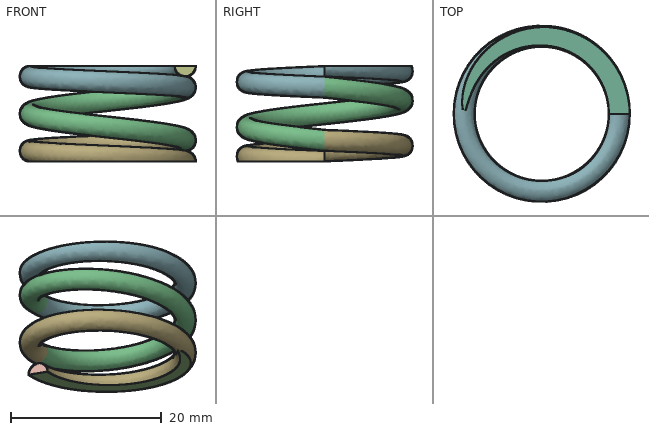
import cadquery as cq

outer_diameter = 23.4
wire_diameter = 2.8
free_length = 12.7
tip_clearance = 0.02

mean_radius = (outer_diameter - wire_diameter) / 2
end_pitch = wire_diameter + tip_clearance
active_pitch = free_length - 2 * end_pitch


def coil(base_height, pitch):
    """One full turn of wire, starting and ending on the +X side."""
    path = cq.Wire.makeHelix(pitch, pitch, mean_radius, lefthand=True)
    turn = (
        cq.Workplane("XZ")
        .center(mean_radius, 0)
        .circle(wire_diameter / 2)
        .sweep(cq.Workplane(path), isFrenet=True)
    )
    return turn.translate((0, 0, base_height))


lower_coil = coil(0, end_pitch)
active_coil = coil(end_pitch, active_pitch)
upper_coil = coil(end_pitch + active_pitch, end_pitch)
spring = active_coil.union(lower_coil).union(upper_coil)

envelope_width = outer_diameter + 2 * wire_diameter
ground_envelope = cq.Workplane("XY").box(
    envelope_width, envelope_width, free_length, centered=(True, True, False)
)
result = spring.intersect(ground_envelope)